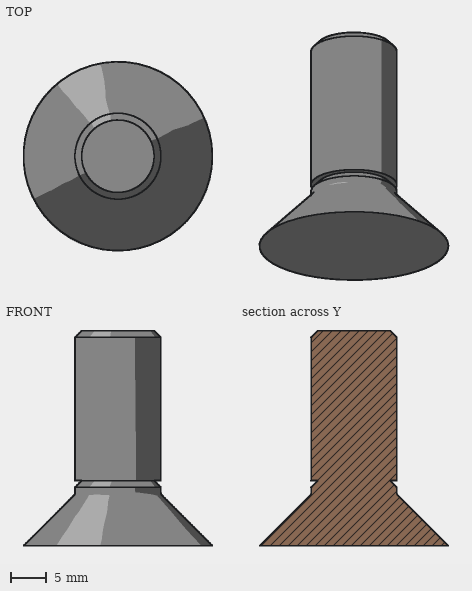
import cadquery as cq
import math

TOTAL_LENGTH = 30.0
HEAD_DIAMETER = 26.38
SHANK_DIAMETER = 12.0
THREAD_CORE_DIAMETER = 10.106
THREAD_START = 9.1
NECK_FILLET_RADIUS = 0.6
HEAD_SLOPE = math.radians(45.0)

head_radius = HEAD_DIAMETER / 2
shank_radius = SHANK_DIAMETER / 2
core_radius = THREAD_CORE_DIAMETER / 2

taper = shank_radius - core_radius
neck_top = THREAD_START - taper

corner_height = (head_radius - shank_radius) / math.tan(HEAD_SLOPE)
tangent_length = NECK_FILLET_RADIUS * math.tan(HEAD_SLOPE / 2)
fillet_top = (shank_radius, corner_height + tangent_length)
fillet_bottom = (
    shank_radius + tangent_length * math.sin(HEAD_SLOPE),
    corner_height - tangent_length * math.cos(HEAD_SLOPE),
)
fillet_middle = (
    shank_radius + NECK_FILLET_RADIUS * (1 - math.cos(HEAD_SLOPE / 2)),
    fillet_top[1] - NECK_FILLET_RADIUS * math.sin(HEAD_SLOPE / 2),
)


def screw_profile():
    """Half section of the screw: radius along X, height along Z."""
    return (
        cq.Workplane("XZ")
        .moveTo(0, 0)
        .lineTo(head_radius, 0)
        .lineTo(*fillet_bottom)
        .threePointArc(fillet_middle, fillet_top)
        .lineTo(shank_radius, neck_top)
        .lineTo(core_radius, THREAD_START)
        .lineTo(shank_radius, THREAD_START)
        .lineTo(shank_radius, TOTAL_LENGTH - taper)
        .lineTo(core_radius, TOTAL_LENGTH)
        .lineTo(0, TOTAL_LENGTH)
        .close()
    )


result = screw_profile().revolve(360, (0, 0, 0), (0, 1, 0))